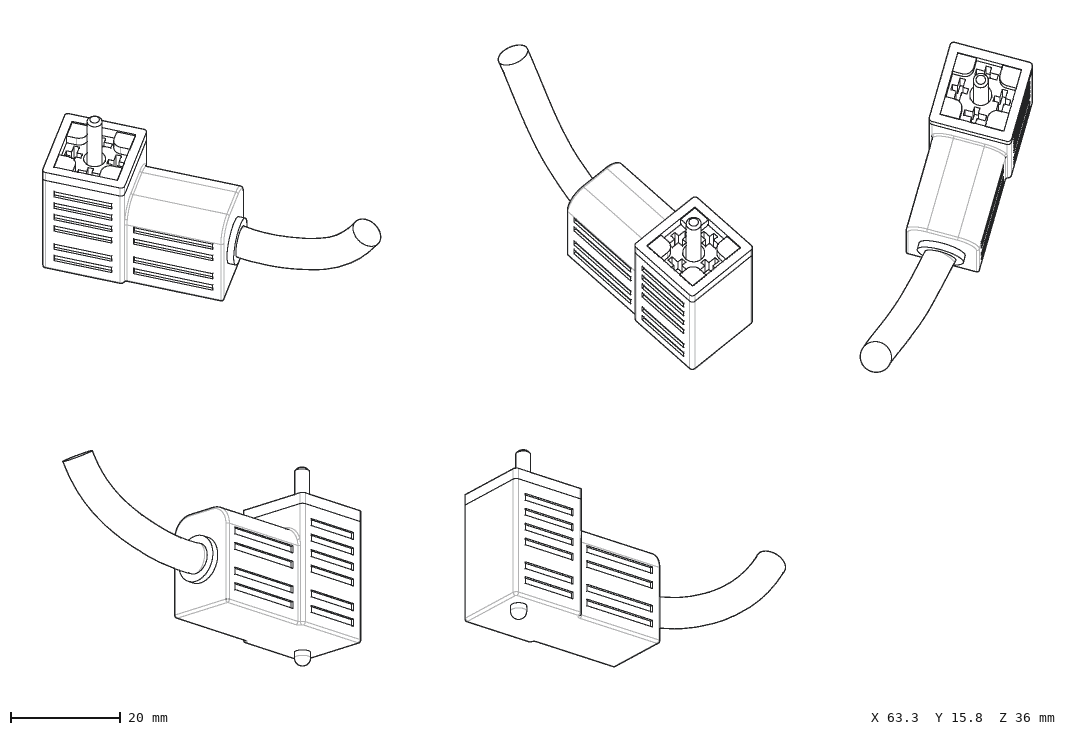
import cadquery as cq
import math


block_size = 15.5
block_height = 23.2
corner_radius = 0.7
base_fillet = 0.5
seal_height = 2.1
opening_size = 12.05

arm_width = 13.8
arm_end = 26.35
arm_height = 19.1
shoulder_radius = 4.0
arm_end_fillet = 0.45
neck_fillet = 0.4
selection_margin = 0.005

slot_height = 1.3
slot_depth = 0.5
slot_pitch = 3.0
lower_slot_first = 3.35
lower_slot_count = 2
upper_slot_first = 11.1
upper_slot_count = 4
arm_slot_count = 4
block_slot_length = 10.95
arm_slot_start = 9.4
arm_slot_end = 24.4
block_slot_heights = [lower_slot_first + i * slot_pitch for i in range(lower_slot_count)]
block_slot_heights += [upper_slot_first + i * slot_pitch for i in range(upper_slot_count)]
arm_slot_heights = block_slot_heights[:arm_slot_count]

contact_slot_depth = 5.1
pad_top = 24.95
pad_offset = 2.5
pad_corner_radius = 1.7
cross_distance = 4.0
cross_width = 4.1
cross_depth = 3.05
cross_bar = 1.0

screw_diameter = 2.7
screw_tip_diameter = 1.7
screw_top = 33.45
screw_hole_diameter = 4.0
screw_hole_depth = 12.7

lamp_diameter = 3.0
lamp_x = -4.0
lamp_y = -3.8
lamp_length = 2.55

gland_diameter = 8.75
gland_end = 27.6
cable_height = 9.5
cable_diameter = 5.75
cable_middle = (39.2, -2.2, 11.9)
cable_end = (53.1, -5.15, 24.3)
cable_end_slope = 60.0
cable_entry_depth = 3.8


def slots(start, end, width, heights):
    """Cutters for grip slots in both sides of a body of the given width."""
    points = [((start + end) / 2, z) for z in heights]
    outlines = cq.Workplane("XZ").pushPoints(points).rect(end - start, slot_height)
    through = outlines.extrude(width / 2, both=True)
    core_size = 2 * (arm_end + block_height)
    core = cq.Workplane("XY").box(core_size, width - 2 * slot_depth, core_size)
    return through.cut(core)


def make_shell():
    """Block and side arm in one piece, with a small fillet in the neck between them."""
    block = cq.Workplane("XY").rect(block_size, block_size).extrude(block_height)
    block = block.edges("|Z").fillet(corner_radius)
    arm = cq.Workplane("XY").box(arm_end, arm_width, arm_height, centered=(False, True, False))
    arm = arm.edges("|X and >Z").fillet(shoulder_radius)
    shell = block.union(arm)
    neck = cq.selectors.BoxSelector(
        (block_size / 2 - selection_margin, -block_size, -selection_margin),
        (block_size / 2 + selection_margin, block_size, arm_height + selection_margin),
        boundingbox=True,
    )
    base = cq.selectors.StringSyntaxSelector("<Z")
    shell = shell.edges(neck - base).fillet(neck_fillet)
    shell = shell.faces("<Z").edges().fillet(base_fillet)
    return shell.faces(">X").edges().fillet(arm_end_fillet)


def around_screw(body):
    """Four copies of a body at quarter turns about the screw axis."""
    copies = body
    for angle in (90, 180, 270):
        copies = copies.union(body.rotate((0, 0, 0), (0, 0, 1), angle))
    return copies


def make_pads():
    """Raised pads in the four corners of the seal opening."""
    pad_size = opening_size / 2 - pad_offset
    pad_centre = pad_offset + pad_size / 2
    pad = cq.Workplane("XY", origin=(pad_centre, pad_centre, block_height))
    pad = pad.rect(pad_size, pad_size).extrude(pad_top - block_height)
    return around_screw(pad.edges("|Z and <X and <Y").fillet(pad_corner_radius))


def make_contact_slots():
    """Cross-shaped recesses around the screw."""
    base = cq.Workplane("XY", origin=(cross_distance, 0, block_height))
    radial = base.rect(cross_depth, cross_bar).extrude(-contact_slot_depth)
    tangential = base.rect(cross_bar, cross_width).extrude(-contact_slot_depth)
    return around_screw(radial.union(tangential))


def make_lamp():
    """Short round stem below the base with a hemispherical tip."""
    radius = lamp_diameter / 2
    tip_height = radius - lamp_length
    stem = cq.Workplane("XY").circle(radius).extrude(tip_height)
    tip = cq.Workplane("XY", origin=(0, 0, tip_height)).sphere(radius)
    lower_half = cq.Workplane("XY").rect(lamp_diameter, lamp_diameter).extrude(-lamp_length)
    return stem.union(tip.intersect(lower_half)).translate((lamp_x, lamp_y, 0))


def make_gland():
    axis = cq.Workplane("YZ", origin=(0, 0, cable_height))
    return axis.circle(gland_diameter / 2).extrude(gland_end)


def make_housing(cable):
    """Shell with grip slots, cable gland, contact face and lamp, hollowed for screw and cable."""
    arm_slots = slots(arm_slot_start, arm_slot_end, arm_width, arm_slot_heights)
    block_slots = slots(-block_slot_length / 2, block_slot_length / 2, block_size, block_slot_heights)
    housing = make_shell().cut(arm_slots).cut(block_slots)
    housing = housing.union(make_gland()).union(make_pads()).union(make_lamp())
    screw_hole = (
        cq.Workplane("XY", origin=(0, 0, block_height))
        .circle(screw_hole_diameter / 2)
        .extrude(-screw_hole_depth)
    )
    return housing.cut(make_contact_slots()).cut(screw_hole).cut(cable)


def make_seal():
    """Square frame on top of the block."""
    seal = cq.Workplane("XY", origin=(0, 0, block_height)).rect(block_size, block_size).extrude(seal_height)
    seal = seal.edges("|Z").fillet(corner_radius)
    return seal.faces(">Z").workplane().rect(opening_size, opening_size).cutThruAll()


def make_screw():
    """Plain screw shank with a chamfered tip, standing on the floor of its hole."""
    base = block_height - screw_hole_depth
    screw = cq.Workplane("XY", origin=(0, 0, base)).circle(screw_diameter / 2).extrude(screw_top - base)
    return screw.faces(">Z").chamfer((screw_diameter - screw_tip_diameter) / 2)


def make_cable():
    """Cable that leaves the gland level, sideways of the arm, and bends upward to its end."""
    start = cq.Vector(gland_end, 0, cable_height)
    middle = cq.Vector(cable_middle)
    end = cq.Vector(cable_end)
    heading = cq.Vector(end.x - start.x, end.y, 0).normalized()
    slope = math.radians(cable_end_slope)
    end_direction = cq.Vector(math.cos(slope), 0, math.sin(slope))
    entry = start - heading * cable_entry_depth
    inner = cq.Edge.makeLine(entry, start)
    bend = cq.Edge.makeSpline([start, middle, end], tangents=[heading, end_direction])
    path = cq.Workplane(cq.Wire.assembleEdges([inner, bend]))
    profile = cq.Workplane(cq.Plane(origin=entry, normal=heading))
    return profile.circle(cable_diameter / 2).sweep(path)


cable = make_cable()
housing = make_housing(cable)
seal = make_seal()
screw = make_screw()
result = cq.Compound.makeCompound([housing.val(), seal.val(), screw.val(), cable.val()])